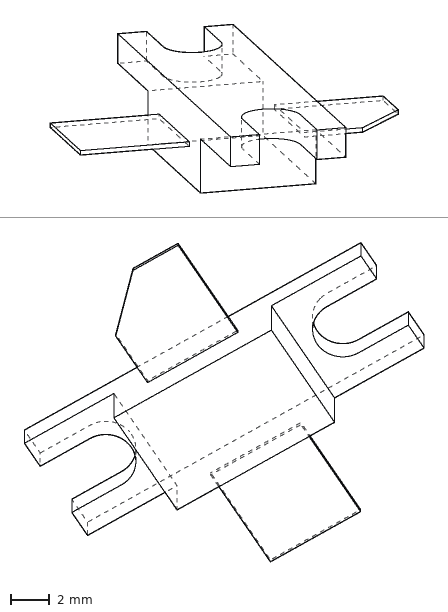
import cadquery as cq

flange_length = 20.5
flange_width = 6.23
flange_thickness = 1.6
slot_width = flange_width / 2
slot_depth = 4.6

body_length = 9.6
total_height = 4.5
frame_height = 0.7

lead_width = 5.5
lead_thickness = 0.25
lead_span = 18.0
lead_corner_cut = lead_width / 2

flange_bottom = total_height - flange_thickness
cap_height = flange_bottom - frame_height


def block(length, width, bottom, height):
    """Box centred on the Z axis, standing on the given height."""
    return cq.Workplane("XY", origin=(0, 0, bottom)).rect(length, width).extrude(height)


def make_flange():
    plate = block(flange_length, flange_width, flange_bottom, flange_thickness)
    slots = (
        cq.Workplane("XY", origin=(0, 0, flange_bottom))
        .pushPoints([(-flange_length / 2, 0), (flange_length / 2, 0)])
        .slot2D(2 * slot_depth, slot_width)
        .extrude(flange_thickness)
    )
    return plate.cut(slots)


def make_leads():
    strip = block(lead_width, lead_span, cap_height - lead_thickness, lead_thickness)
    return strip.edges("|Z").edges(">X and >Y").chamfer(lead_corner_cut)


flange = make_flange()
frame = block(body_length, flange_width, cap_height, frame_height)
cap = block(body_length, flange_width, 0, cap_height)
leads = make_leads()

result = flange.union(frame, clean=False).union(cap, clean=False).union(leads, clean=False)